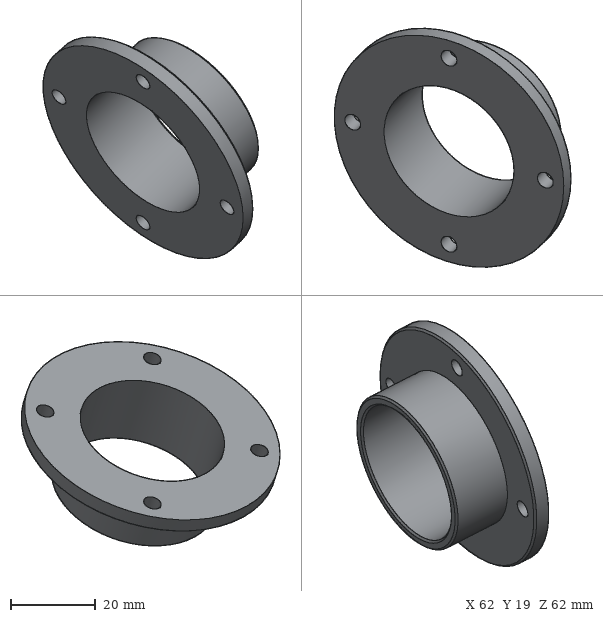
import cadquery as cq

flange_diameter = 62.0
flange_thickness = 4.0
overall_length = 19.0
tube_diameter = 40.0
bore_diameter = 35.0
hole_diameter = 4.2
hole_circle_diameter = 52.0
hole_count = 4
edge_chamfer = 0.5


def chamfered_disc(diameter, length):
    """Disc from Y = 0 toward +Y with its far rim chamfered."""
    disc = cq.Workplane("XZ").circle(diameter / 2).extrude(-length)
    return disc.faces(">Y").chamfer(edge_chamfer)


def through_cutters():
    """Central bore and the ring of bolt holes, along the full length."""
    bore = cq.Workplane("XZ").circle(bore_diameter / 2).extrude(-overall_length)
    bolt_holes = (
        cq.Workplane("XZ")
        .polarArray(hole_circle_diameter / 2, 0, 360, hole_count)
        .circle(hole_diameter / 2)
        .extrude(-flange_thickness)
    )
    return bore.union(bolt_holes)


flange = chamfered_disc(flange_diameter, flange_thickness)
tube = chamfered_disc(tube_diameter, overall_length)
body = flange.union(tube).cut(through_cutters())

bore_rim = body.faces(">Y").edges(cq.selectors.RadiusNthSelector(0))
result = bore_rim.chamfer(edge_chamfer)